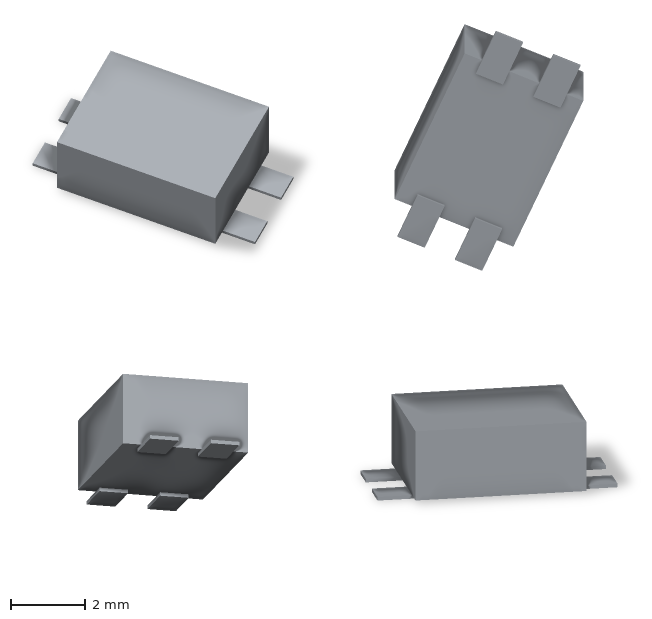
import cadquery as cq

overall_length = 6.6
overall_height = 2.05

lead_length = 1.34
lead_width = 0.8
lead_thickness = 0.1
lead_pitch = 1.695

housing_length = 4.7
housing_width = 3.5
housing_height = overall_height - lead_thickness


def make_housing():
    """Block whose underside lies on top of the leads."""
    return (
        cq.Workplane("XY", origin=(0, 0, lead_thickness))
        .box(housing_length, housing_width, housing_height, centered=(True, True, False))
    )


def make_lead(x_side, y_side):
    """One flat lead; x_side and y_side (-1 or 1) choose its corner."""
    x_center = x_side * (overall_length - lead_length) / 2
    y_center = y_side * lead_pitch / 2
    return (
        cq.Workplane("XY", origin=(x_center, y_center, 0))
        .box(lead_length, lead_width, lead_thickness, centered=(True, True, False))
    )


housing = make_housing()
leads = [make_lead(x_side, y_side) for x_side in (-1, 1) for y_side in (-1, 1)]

result = cq.Compound.makeCompound([housing.val(), *[lead.val() for lead in leads]])